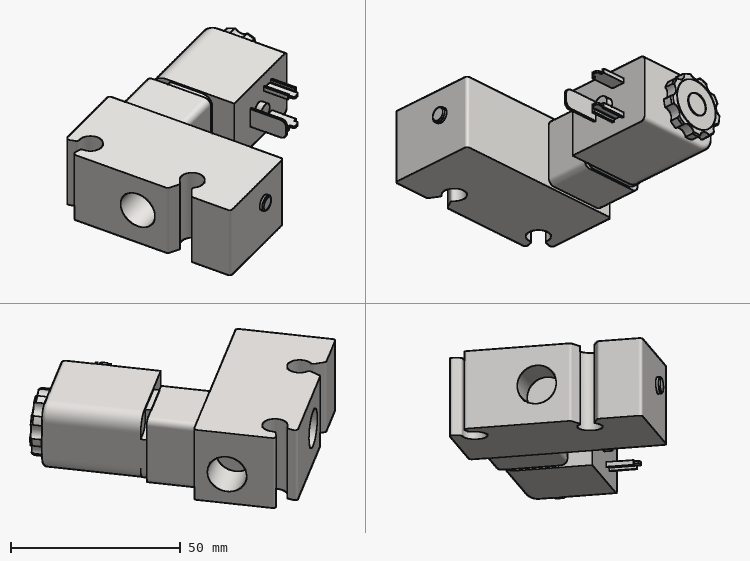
import cadquery as cq
import math

BLOCK_X = 60.0
BLOCK_Y = 30.05
BLOCK_Z = 24.0
BLOCK_EDGE_RADIUS = 1.0
MID_Z = BLOCK_Z / 2

SEAT_RADIUS = 3.7
MOUTH_HALF_ANGLE = 30
MOUTH_LENGTH = 16.2
SEAT_Y = 7.1
CORNER_SEAT_X = 7.45
FRONT_SEAT_X = 42.45
CORNER_MOUTH_DIRECTION = 225
FRONT_MOUTH_DIRECTION = 270

PORT_DIAMETER = 11.8
PORT_DEPTH = 12.0
FRONT_PORT_X = 28.0
SIDE_PORT_Y = 20.0
SIDE_PORT_Z = 10.0

BUTTON_DIAMETER = 5.0
BUTTON_HEIGHT = 1.2
BUTTON_CHAMFER = 0.4
BUTTON_Y = 19.0
BUTTON_Z = 15.0

STACK_X = 15.0
NECK_WIDTH = 22.0
NECK_LENGTH = 15.0
NECK_CORNER_RADIUS = 2.0
NECK_END_Y = BLOCK_Y + NECK_LENGTH

SPACER_WIDTH = 21.0
SPACER_LENGTH = 1.95
SPACER_CORNER_RADIUS = 3.6
SPACER_END_Y = NECK_END_Y + SPACER_LENGTH
NOTCH_SIZE = 6.5
NOTCH_RADIUS = 3.0

COIL_X = 28.5
COIL_LENGTH = 30.05
COIL_HEIGHT = 22.0
COIL_CORNER_RADIUS = 5.0
COIL_RIM_RADIUS = 1.45
COIL_LEFT = STACK_X - SPACER_WIDTH / 2
COIL_RIGHT = COIL_LEFT + COIL_X
COIL_END_Y = SPACER_END_Y + COIL_LENGTH

OVERALL_Y = 81.0
NUT_RADIUS = 10.05
NUT_HEIGHT = 3.5
NUT_CHAMFER_RADIAL = 0.3
NUT_CHAMFER_AXIAL = 0.65
NUT_FACE_DIAMETER = 16.0
NUT_FACE_HEIGHT = 0.2
FLUTE_COUNT = 9
FLUTE_RADIUS = 2.5
FLUTE_CENTRE_RADIUS = 11.1
FIRST_FLUTE_ANGLE = 8
HUB_DIAMETER = 7.2

PIN_Y = 66.0
PIN_SPACING = 10.7
RAIL_LENGTH = 8.35
RAIL_HEIGHT = 1.45
RAIL_THICKNESS = 0.7
RAIL_OUTER_WIDTH = 4.8
WEB_THICKNESS = 0.6
PIN_BLADE_LENGTH = 10.0
PIN_BLADE_WIDTH = 2.5
PIN_BLADE_THICKNESS = 0.7
PIN_TIP_CHAMFER = 0.5
BOSS_DIAMETER = 5.0
BOSS_HEIGHT = 2.2
BOSS_Y = 61.0
GROUND_Y = 56.4
GROUND_LENGTH = 12.3
GROUND_WIDTH = 6.5
GROUND_THICKNESS = 0.7
GROUND_TIP_RADIUS = 1.95


def box(x_range, y_range, z_range):
    sizes = [high - low for low, high in (x_range, y_range, z_range)]
    corner = (x_range[0], y_range[0], z_range[0])
    return cq.Workplane("XY").box(*sizes, centered=False).translate(corner)


def about(centre, width):
    return (centre - width / 2, centre + width / 2)


def rod_along_x(x_start, y, z, diameter, length):
    return cq.Workplane("YZ", origin=(x_start, y, z)).circle(diameter / 2).extrude(length)


def rod_along_y(x, y_start, z, diameter, length):
    plane = cq.Plane(origin=(x, y_start, z), xDir=(1, 0, 0), normal=(0, 1, 0))
    return cq.Workplane(plane).circle(diameter / 2).extrude(length)


def mounting_slot(seat_x, direction):
    seat = cq.Workplane("XY").center(seat_x, SEAT_Y).circle(SEAT_RADIUS).extrude(BLOCK_Z)
    mouth_points = [(seat_x, SEAT_Y)]
    for side in (-1, 1):
        angle = math.radians(direction + side * MOUTH_HALF_ANGLE)
        mouth_points.append(
            (seat_x + MOUTH_LENGTH * math.cos(angle), SEAT_Y + MOUTH_LENGTH * math.sin(angle))
        )
    mouth = cq.Workplane("XY").polyline(mouth_points).close().extrude(BLOCK_Z)
    return seat.union(mouth)


def valve_block():
    block = box((0, BLOCK_X), (0, BLOCK_Y), (0, BLOCK_Z))
    block = block.cut(mounting_slot(CORNER_SEAT_X, CORNER_MOUTH_DIRECTION))
    block = block.cut(mounting_slot(FRONT_SEAT_X, FRONT_MOUTH_DIRECTION))
    block = block.edges("|Z").fillet(BLOCK_EDGE_RADIUS)
    front_port = rod_along_y(FRONT_PORT_X, 0, MID_Z, PORT_DIAMETER, PORT_DEPTH)
    side_port = rod_along_x(0, SIDE_PORT_Y, SIDE_PORT_Z, PORT_DIAMETER, PORT_DEPTH)
    return block.cut(front_port).cut(side_port)


def button():
    head = rod_along_x(BLOCK_X, BUTTON_Y, BUTTON_Z, BUTTON_DIAMETER, BUTTON_HEIGHT)
    return head.faces(">X").chamfer(BUTTON_CHAMFER)


def neck():
    body = box(about(STACK_X, NECK_WIDTH), (BLOCK_Y, NECK_END_Y), about(MID_Z, NECK_WIDTH))
    return body.edges("|Y").fillet(NECK_CORNER_RADIUS)


def spacer():
    y_range = (NECK_END_Y, SPACER_END_Y)
    body = box(about(STACK_X, SPACER_WIDTH), y_range, about(MID_Z, SPACER_WIDTH))
    body = body.edges("|Y").fillet(SPACER_CORNER_RADIUS)
    top = MID_Z + SPACER_WIDTH / 2
    notch = box((COIL_LEFT, COIL_LEFT + NOTCH_SIZE), y_range, (top - NOTCH_SIZE, top))
    notch = notch.edges("|Y and >X and <Z").fillet(NOTCH_RADIUS)
    return body.cut(notch)


def coil():
    body = box((COIL_LEFT, COIL_RIGHT), (SPACER_END_Y, COIL_END_Y), about(MID_Z, COIL_HEIGHT))
    body = body.edges("|Y and <X").fillet(COIL_CORNER_RADIUS)
    rounded_rim = body.faces(">Y").edges("not(>X)")
    return rounded_rim.fillet(COIL_RIM_RADIUS)


def nut():
    body = rod_along_y(STACK_X, COIL_END_Y, MID_Z, 2 * NUT_RADIUS, NUT_HEIGHT)
    body = body.faces(">Y").edges().chamfer(NUT_CHAMFER_AXIAL, NUT_CHAMFER_RADIAL)
    for index in range(FLUTE_COUNT):
        angle = math.radians(FIRST_FLUTE_ANGLE + index * 360 / FLUTE_COUNT)
        flute_x = STACK_X + FLUTE_CENTRE_RADIUS * math.cos(angle)
        flute_z = MID_Z + FLUTE_CENTRE_RADIUS * math.sin(angle)
        body = body.cut(rod_along_y(flute_x, COIL_END_Y, flute_z, 2 * FLUTE_RADIUS, NUT_HEIGHT))
    face_height = NUT_HEIGHT + NUT_FACE_HEIGHT
    face = rod_along_y(STACK_X, COIL_END_Y, MID_Z, NUT_FACE_DIAMETER, face_height)
    hub = rod_along_y(STACK_X, COIL_END_Y, MID_Z, HUB_DIAMETER, OVERALL_Y - COIL_END_Y)
    return body.union(face).union(hub)


def connector_pin():
    """Upper pin: a channel of two rails and a web, carrying a longer flat blade."""
    floor_z = MID_Z + PIN_SPACING / 2 - WEB_THICKNESS / 2
    rail_x = (COIL_RIGHT, COIL_RIGHT + RAIL_LENGTH)
    blade_x = (COIL_RIGHT, COIL_RIGHT + PIN_BLADE_LENGTH)
    pin = box(blade_x, about(PIN_Y, PIN_BLADE_WIDTH), (floor_z, floor_z + PIN_BLADE_THICKNESS))
    pin = pin.edges("|Z and >X").chamfer(PIN_TIP_CHAMFER)
    pin = pin.union(box(rail_x, about(PIN_Y, RAIL_OUTER_WIDTH), (floor_z, floor_z + WEB_THICKNESS)))
    for side in (-1, 1):
        rail_y = PIN_Y + side * (RAIL_OUTER_WIDTH - RAIL_THICKNESS) / 2
        rail_z = (floor_z, floor_z + RAIL_HEIGHT)
        pin = pin.union(box(rail_x, about(rail_y, RAIL_THICKNESS), rail_z))
    return pin


def connector():
    upper_pin = connector_pin()
    lower_pin = upper_pin.mirror("XY", (0, 0, MID_Z))
    boss = rod_along_x(COIL_RIGHT, BOSS_Y, MID_Z, BOSS_DIAMETER, BOSS_HEIGHT)
    ground_x = (COIL_RIGHT, COIL_RIGHT + GROUND_LENGTH)
    ground = box(ground_x, about(GROUND_Y, GROUND_THICKNESS), about(MID_Z, GROUND_WIDTH))
    ground = ground.edges("|Y and >X").fillet(GROUND_TIP_RADIUS)
    return upper_pin.union(lower_pin).union(boss).union(ground)


result = valve_block()
for piece in (button(), neck(), spacer(), coil(), nut(), connector()):
    result = result.union(piece)